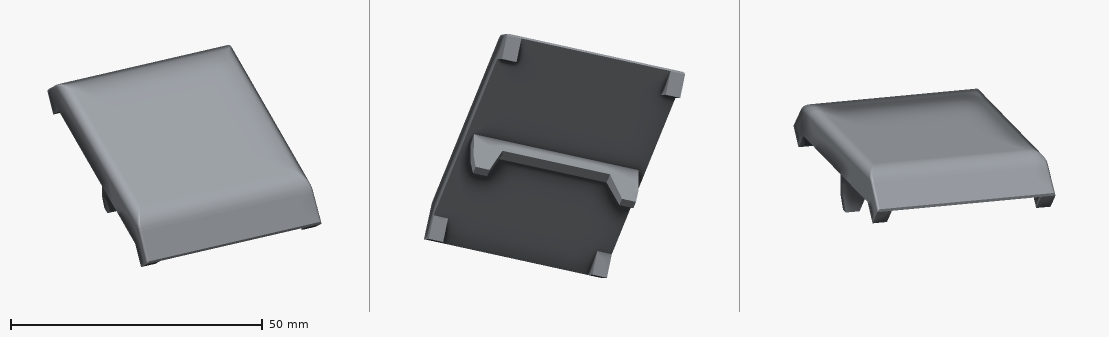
import cadquery as cq
import math

length = 57.8
width = 37.0
height = 7.0
end_lip = 0.56
slope_angle = math.radians(45)
side_draft = math.radians(1.0)
end_radius = 7.0
side_radius = 2.0
end_edge_radius = 0.5

lug_drop = 3.4
lug_width = 3.0

leg_drop = 9.0
web_drop = 2.9
taper_start_drop = 6.0
leg_outer_y = 17.1
tip_outer_y = 16.65
tip_inner_y = 13.75
root_inner_y = 11.15
web_root_thickness = 2.6
web_tip_thickness = 1.8

half_length = length / 2
half_width = width / 2


def make_end_profile():
    """Lengthwise outline, with an arc from the flat top into each end slope."""
    arc_drop = end_radius * (1 - math.cos(slope_angle))
    slope_top_z = height - arc_drop
    slope_top_x = half_length - (slope_top_z - end_lip) / math.tan(slope_angle)
    arc_start_x = slope_top_x - end_radius * math.sin(slope_angle)
    arc_mid_x = arc_start_x + end_radius * math.sin(slope_angle / 2)
    arc_mid_z = height - end_radius * (1 - math.cos(slope_angle / 2))
    return (
        cq.Workplane("XZ")
        .moveTo(-half_length, 0)
        .lineTo(half_length, 0)
        .lineTo(half_length, end_lip)
        .lineTo(slope_top_x, slope_top_z)
        .threePointArc((arc_mid_x, arc_mid_z), (arc_start_x, height))
        .lineTo(-arc_start_x, height)
        .threePointArc((-arc_mid_x, arc_mid_z), (-slope_top_x, slope_top_z))
        .lineTo(-half_length, end_lip)
        .close()
    )


def make_drafted_block():
    """Block over the whole footprint, with its long sides leaning in toward the top."""
    top_half_width = half_width - height * math.tan(side_draft)
    return (
        cq.Workplane("YZ")
        .polyline([
            (-half_width, 0),
            (half_width, 0),
            (top_half_width, height),
            (-top_half_width, height),
        ])
        .close()
        .extrude(half_length, both=True)
    )


def is_end_slope_edge(edge):
    """True for the edges along an end slope, not the lengthwise or lip edges."""
    steepness = abs(edge.tangentAt(0).z)
    runs_lengthwise = steepness < math.sin(slope_angle) / 2
    above_lip = edge.Center().z > end_lip
    return above_lip and not runs_lengthwise


def make_cap():
    """Sloped-end plate with drafted sides, rounded over the slopes and long top edges."""
    block = make_drafted_block()
    rounded_block = block.edges("|X and >Z").fillet(side_radius)
    plate = make_end_profile().extrude(half_width, both=True).intersect(rounded_block)
    return (
        plate.faces("<Y or >Y")
        .edges()
        .filter(is_end_slope_edge)
        .fillet(end_edge_radius)
    )


def make_lug(x_side, y_side):
    """Wedge at one corner, starting at the end of the cap and flush with its side."""
    outer_x = x_side * half_length
    tip_x = x_side * (half_length - lug_drop)
    inner_x = x_side * (half_length - 2 * lug_drop)
    wedge = (
        cq.Workplane("XZ")
        .polyline([(outer_x, 0), (tip_x, -lug_drop), (inner_x, 0)])
        .close()
        .extrude(lug_width / 2, both=True)
    )
    return wedge.translate((0, y_side * (half_width - lug_width / 2), 0))


def make_leg_web():
    """Web and legs in one outline, thinning toward the leg tips."""
    half_outline = [
        (leg_outer_y, 0),
        (leg_outer_y, -taper_start_drop),
        (tip_outer_y, -leg_drop),
        (tip_inner_y, -leg_drop),
        (root_inner_y, -web_drop),
    ]
    mirrored_outline = [(-y, z) for y, z in reversed(half_outline)]
    outline = (
        cq.Workplane("YZ")
        .polyline(half_outline + mirrored_outline)
        .close()
        .extrude(web_root_thickness / 2, both=True)
    )
    taper = (
        cq.Workplane("XZ")
        .polyline([
            (-web_root_thickness / 2, 0),
            (web_root_thickness / 2, 0),
            (web_tip_thickness / 2, -leg_drop),
            (-web_tip_thickness / 2, -leg_drop),
        ])
        .close()
        .extrude(half_width, both=True)
    )
    return outline.intersect(taper)


result = make_cap().union(make_leg_web())
for x_side in (-1, 1):
    for y_side in (-1, 1):
        result = result.union(make_lug(x_side, y_side))